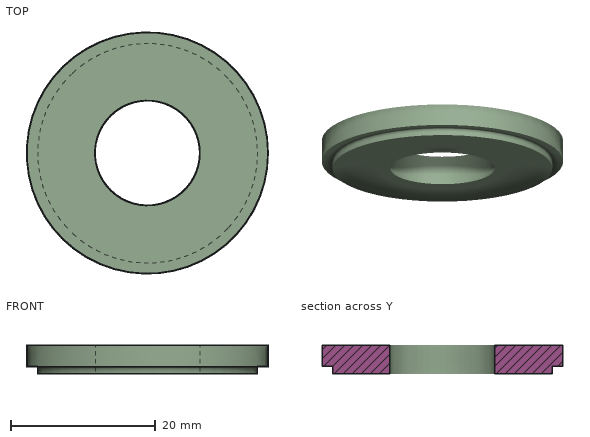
import cadquery as cq
import math

flange_diameter = 33.5
step_diameter = 30.5
bore_diameter = 14.5
total_height = 4.0
step_height = 1.0
corner_fillet_radius = 0.1

flange_radius = flange_diameter / 2
step_radius = step_diameter / 2
bore_radius = bore_diameter / 2

fillet_mid_inset = corner_fillet_radius * (1 - math.sqrt(0.5))
fillet_midpoint = (step_radius + fillet_mid_inset, step_height - fillet_mid_inset)

half_section = (
    cq.Workplane("XZ")
    .moveTo(bore_radius, 0)
    .lineTo(step_radius, 0)
    .lineTo(step_radius, step_height - corner_fillet_radius)
    .threePointArc(fillet_midpoint, (step_radius + corner_fillet_radius, step_height))
    .lineTo(flange_radius, step_height)
    .lineTo(flange_radius, total_height)
    .lineTo(bore_radius, total_height)
    .close()
)

result = half_section.revolve(360, (0, 0, 0), (0, 1, 0))